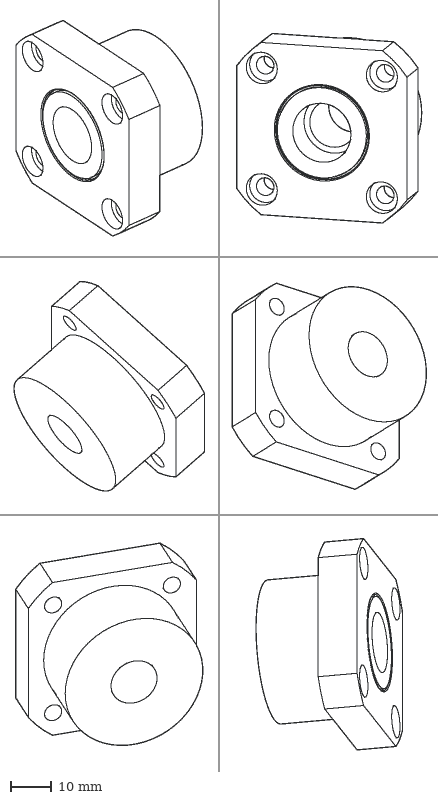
import cadquery as cq

flange_side = 44.0
flange_corner_diameter = 54.05
flange_thickness = 10.0

hub_diameter = 36.0
total_length = 27.0

bore_diameter = 12.0
front_bore_diameter = 15.0
front_bore_depth = 10.0

rim_chamfer = 0.25
groove_outer_diameter = 24.05
groove_inner_diameter = 23.0
groove_depth = 1.0

hole_spacing = 31.0
hole_diameter = 4.5
counterbore_diameter = 8.0
counterbore_depth = 3.0


def cylinder(diameter, length, x=0, z=0):
    """Cylinder running from the front face (Y = 0) toward +Y."""
    return cq.Workplane("XZ").center(x, z).circle(diameter / 2).extrude(-length)


def make_body():
    square = cq.Workplane("XZ").rect(flange_side, flange_side).extrude(-flange_thickness)
    flange = square.intersect(cylinder(flange_corner_diameter, flange_thickness))
    return flange.union(cylinder(hub_diameter, total_length))


def counterbored_hole(diameter, length, wide_diameter, wide_depth, x=0, z=0):
    through = cylinder(diameter, length, x, z)
    return through.union(cylinder(wide_diameter, wide_depth, x, z))


def ring_groove():
    """Ring cut, revolved from its half section in the XY plane."""
    inner_radius = groove_inner_diameter / 2
    outer_radius = groove_outer_diameter / 2
    section = (
        cq.Workplane("XY")
        .moveTo(inner_radius, 0)
        .lineTo(outer_radius + rim_chamfer, 0)
        .lineTo(outer_radius, rim_chamfer)
        .lineTo(outer_radius, groove_depth)
        .lineTo(inner_radius, groove_depth)
        .close()
    )
    return section.revolve(360, (0, 0, 0), (0, 1, 0))


result = make_body()
result = result.cut(
    counterbored_hole(bore_diameter, total_length, front_bore_diameter, front_bore_depth)
)
result = result.cut(ring_groove())

for x_side in (-1, 1):
    for z_side in (-1, 1):
        mounting_hole = counterbored_hole(
            hole_diameter,
            flange_thickness,
            counterbore_diameter,
            counterbore_depth,
            x_side * hole_spacing / 2,
            z_side * hole_spacing / 2,
        )
        result = result.cut(mounting_hole)